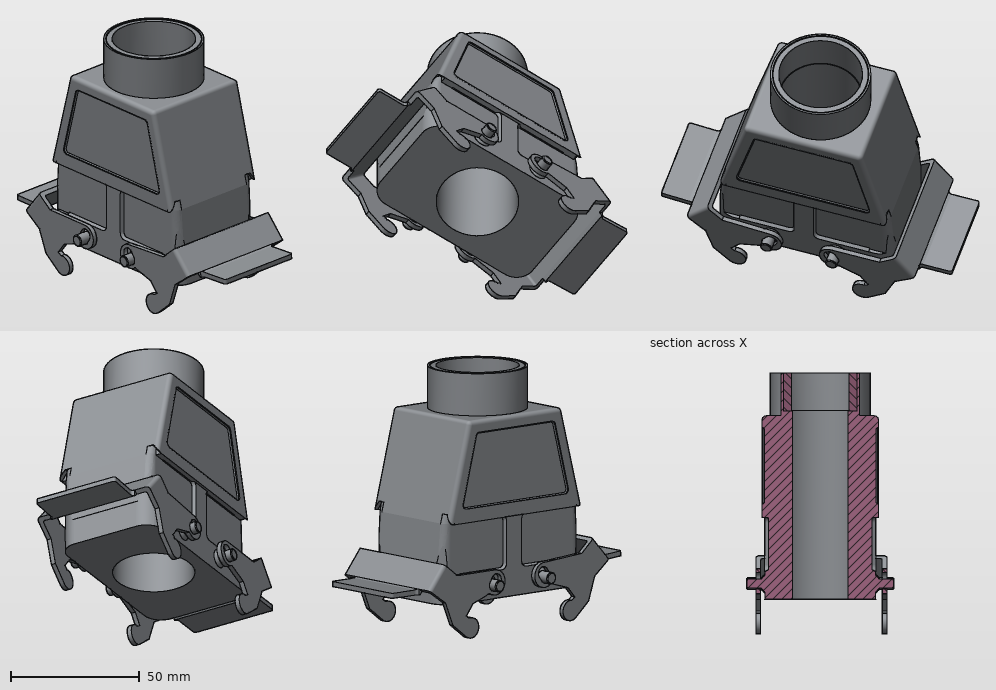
import cadquery as cq
import math


BLOCK_TOP = 71.5
BLOCK_BOTTOM = 31.8
BLOCK_TOP_HALF_LENGTH = 23.8
BLOCK_BOTTOM_HALF_LENGTH = 34.3
BLOCK_HALF_WIDTH = 22.6
BLOCK_FILLET = 1.8
PANEL_TOP = 66.7
PANEL_BOTTOM = 37.2
PANEL_TOP_HALF_LENGTH = 20.0
PANEL_BOTTOM_HALF_LENGTH = 27.6
PANEL_DEPTH = 1.0
PANEL_CORNER = 1.8
PANEL_EDGE_CHAMFER = 0.5

CORE_HALF_WIDTH = 20.2
CORE_CORNER_X = 31.5
CORE_CORNER_Y = 17.3
CORE_BOTTOM_HALF_LENGTH = 37.1
CORE_TOP = 35.6
CORE_TOP_HALF_LENGTH = 33.2

BAND_HALF_LENGTH = 36.2
BAND_HALF_WIDTH = 21.6
BAND_CORNER_X = 28.5
BAND_CORNER_Y = 14.1
RIB_HALF_LENGTH = 3.9
POCKET_BOTTOM = 10.9
POCKET_TOP = 32.2
POCKET_CORNER = 2.4
POCKET_TAPER = 25.0
POCKET_FLAT_LENGTH = 22.5

TOP = 88.1
NECK_DIAMETER = 39.0
SLEEVE_DIAMETER = 37.0
SLEEVE_BORE = 32.5
SLEEVE_LENGTH = 14.7
CABLE_BORE = 32.0
MOUTH_CHAMFER = 0.2

PIN_X = 13.3
PIN_Z = 6.2
PIN_RADIUS = 2.31
PIN_TIP_Y = 28.6
PIN_CHAMFER = 0.4
PIN_ROOT_RADIUS = 3.7

SHEET = 1.9
LEVER_HALF_WIDTH = 25.5
LEVER_SHIFT_Y = 0.5
BEND_OUTER_RADIUS = 1.5
BEND_INNER_RADIUS = 1.0
EYE_X = -12.7
EYE_Z = 7.1
EYE_RADIUS = 5.0
EYE_START_ANGLE = 90.0
EYE_END_ANGLE = -127.0
SLOT_WIDTH = 5.0
SLOT_TRAVEL = 2.1
SLOT_ANGLE = 58.0
HOOK_X = -25.3
HOOK_Z = -9.4
HOOK_RADIUS = 4.0
HOOK_START_ANGLE = 100.0
HOOK_END_ANGLE = -127.0
HOOK_THROAT = (-27.6, -4.4)
HOOK_BACK_LOWER = (-34.6, -7.2)
HOOK_BACK_UPPER = (-38.4, 2.0)
ARM_START_X = -32.2
ARM_HEEL = (-24.3, 0.0)
WEB_TOP = (-38.8, 17.1)
WEB_BOTTOM = (-46.5, 7.6)
TAB_TIP_X = -59.3
TAB_TOP = 7.2
TAB_BOTTOM = 5.2
TAB_HALF_WIDTH = 17.9
TAB_CORNER = 1.0
TAB_FLARE = 1.2
TAB_BEND_RUN = 1.4
TAB_HEEL_INSET = 0.4
RIGHT_LEVER_TILT = 3.7


def circle_point(center_x, center_z, radius, degrees):
    """Point on a circle, at an angle measured from +X toward +Z."""
    angle = math.radians(degrees)
    return (center_x + radius * math.cos(angle), center_z + radius * math.sin(angle))


def both_sides(shape):
    """The shape together with its mirror image across Y = 0."""
    return shape.union(shape.mirror("XZ"))


def trapezoid(plane, top_half, bottom_half, top, bottom):
    corners = [(-bottom_half, bottom), (bottom_half, bottom), (top_half, top), (-top_half, top)]
    return plane.polyline(corners).close()


def side_plane(offset):
    """XZ workplane on the -Y side; its normal points to -Y."""
    return cq.Workplane("XZ", origin=(0, -offset, 0))


def make_block():
    block = trapezoid(
        cq.Workplane("XZ"), BLOCK_TOP_HALF_LENGTH, BLOCK_BOTTOM_HALF_LENGTH, BLOCK_TOP, BLOCK_BOTTOM
    ).extrude(BLOCK_HALF_WIDTH, both=True)
    block = block.edges("not(<Z)").fillet(BLOCK_FILLET)
    panel = trapezoid(
        side_plane(BLOCK_HALF_WIDTH),
        PANEL_TOP_HALF_LENGTH,
        PANEL_BOTTOM_HALF_LENGTH,
        PANEL_TOP,
        PANEL_BOTTOM,
    ).extrude(-PANEL_DEPTH)
    panel = panel.edges("|Y").fillet(PANEL_CORNER)
    panel = panel.faces(">Y").chamfer(PANEL_EDGE_CHAMFER)
    return block.cut(both_sides(panel))


def skirt_outline(height, half_length, half_width, corner_x, corner_y):
    """Closed skirt outline at one height; an arc rounds each corner."""
    x_bulge = corner_x + (half_length - corner_x) * math.sqrt(0.5)
    y_bulge = corner_y + (half_width - corner_y) * math.sqrt(0.5)
    return (
        cq.Workplane("XY", origin=(0, 0, height))
        .moveTo(-corner_x, -half_width)
        .lineTo(corner_x, -half_width)
        .threePointArc((x_bulge, -y_bulge), (half_length, -corner_y))
        .lineTo(half_length, corner_y)
        .threePointArc((x_bulge, y_bulge), (corner_x, half_width))
        .lineTo(-corner_x, half_width)
        .threePointArc((-x_bulge, y_bulge), (-half_length, corner_y))
        .lineTo(-half_length, -corner_y)
        .threePointArc((-x_bulge, -y_bulge), (-corner_x, -half_width))
        .close()
    )


def band_prism(height):
    return skirt_outline(0, BAND_HALF_LENGTH, BAND_HALF_WIDTH, BAND_CORNER_X, BAND_CORNER_Y).extrude(height)


def make_skirt_core():
    """Skirt with sloping ends; the vertical outline of the band trims the corners of its lower part."""
    levels = [
        (0, CORE_BOTTOM_HALF_LENGTH),
        (BLOCK_BOTTOM, BLOCK_BOTTOM_HALF_LENGTH),
        (CORE_TOP, CORE_TOP_HALF_LENGTH),
    ]
    sections = [
        skirt_outline(height, half_length, CORE_HALF_WIDTH, CORE_CORNER_X, CORE_CORNER_Y).val()
        for height, half_length in levels
    ]
    core = cq.Workplane(cq.Solid.makeLoft(sections, True))
    return core.intersect(band_prism(CORE_TOP))


def make_pocket(side):
    """Pocket cutter on the -Y side of the skirt, open toward the skirt end."""
    length = 2 * BLOCK_BOTTOM_HALF_LENGTH
    height = POCKET_TOP - POCKET_BOTTOM
    return (
        side_plane(BAND_HALF_WIDTH)
        .center(side * (RIB_HALF_LENGTH + length / 2), POCKET_BOTTOM + height / 2)
        .sketch()
        .rect(length, height)
        .vertices()
        .fillet(POCKET_CORNER)
        .finalize()
        .extrude(CORE_HALF_WIDTH - BAND_HALF_WIDTH, taper=POCKET_TAPER)
    )


def make_skirt_band():
    """Thicker band around the skirt bottom, with a rib rising between the two pockets of each side."""
    band = band_prism(BLOCK_BOTTOM)
    end_space = cq.Workplane("XY").box(
        BLOCK_BOTTOM_HALF_LENGTH,
        2 * BLOCK_HALF_WIDTH,
        BLOCK_BOTTOM - POCKET_BOTTOM,
        centered=(False, True, False),
    )
    end_space = end_space.translate((RIB_HALF_LENGTH + POCKET_FLAT_LENGTH, 0, POCKET_BOTTOM))
    band = band.cut(end_space).cut(end_space.mirror("YZ"))
    for side in (-1, 1):
        band = band.cut(both_sides(make_pocket(side)))
    return band


def make_corner_reliefs():
    """Slanted undercuts of the block's lower corners, above the rounded skirt corners."""
    relief = (
        cq.Workplane("YZ", origin=(CORE_CORNER_X, 0, 0))
        .moveTo(CORE_CORNER_Y, BLOCK_BOTTOM)
        .lineTo(CORE_CORNER_Y, CORE_TOP)
        .lineTo((CORE_CORNER_Y + BLOCK_HALF_WIDTH) / 2, CORE_TOP)
        .lineTo(BLOCK_HALF_WIDTH, BLOCK_BOTTOM)
        .close()
        .extrude(BLOCK_BOTTOM_HALF_LENGTH - CORE_CORNER_X)
    )
    relief = both_sides(relief)
    return relief.union(relief.mirror("YZ"))


def make_pin(x):
    root_height = PIN_ROOT_RADIUS - PIN_RADIUS
    pin = side_plane(BAND_HALF_WIDTH).center(x, PIN_Z).circle(PIN_RADIUS).extrude(PIN_TIP_Y - BAND_HALF_WIDTH)
    pin = pin.faces("<Y").chamfer(PIN_CHAMFER)
    root = cq.Workplane(
        cq.Solid.makeCone(
            PIN_ROOT_RADIUS,
            PIN_RADIUS,
            root_height,
            cq.Vector(x, -BAND_HALF_WIDTH, PIN_Z),
            cq.Vector(0, -1, 0),
        )
    )
    return pin.union(root)


def make_housing():
    housing = make_block().cut(make_corner_reliefs()).union(make_skirt_core()).union(make_skirt_band())
    neck = cq.Workplane("XY", origin=(0, 0, BLOCK_TOP)).circle(NECK_DIAMETER / 2).extrude(TOP - BLOCK_TOP)
    housing = housing.union(neck)
    for x in (-PIN_X, PIN_X):
        housing = housing.union(both_sides(make_pin(x)))
    bore = cq.Workplane("XY").circle(CABLE_BORE / 2).extrude(TOP)
    seat = cq.Workplane("XY", origin=(0, 0, TOP)).circle(SLEEVE_DIAMETER / 2).extrude(-SLEEVE_LENGTH)
    mouth = cq.Workplane(
        cq.Solid.makeCone(
            SLEEVE_DIAMETER / 2,
            SLEEVE_DIAMETER / 2 + MOUTH_CHAMFER,
            MOUTH_CHAMFER,
            cq.Vector(0, 0, TOP - MOUTH_CHAMFER),
        )
    )
    return housing.cut(bore).cut(seat).cut(mouth)


def make_sleeve():
    return (
        cq.Workplane("XY", origin=(0, 0, TOP))
        .circle(SLEEVE_DIAMETER / 2)
        .circle(SLEEVE_BORE / 2)
        .extrude(-SLEEVE_LENGTH)
    )


def lever_side_outline():
    """Outline of a lever's side plate in XZ: web edge, arm with its eye, and hook."""
    eye_top = EYE_Z + EYE_RADIUS
    return (
        cq.Workplane("XZ")
        .moveTo(*WEB_TOP)
        .lineTo(ARM_START_X, eye_top)
        .lineTo(EYE_X, eye_top)
        .threePointArc(
            circle_point(EYE_X, EYE_Z, EYE_RADIUS, (EYE_START_ANGLE + EYE_END_ANGLE) / 2),
            circle_point(EYE_X, EYE_Z, EYE_RADIUS, EYE_END_ANGLE),
        )
        .lineTo(*ARM_HEEL)
        .lineTo(*HOOK_THROAT)
        .lineTo(*circle_point(HOOK_X, HOOK_Z, HOOK_RADIUS, HOOK_START_ANGLE))
        .threePointArc(
            circle_point(HOOK_X, HOOK_Z, HOOK_RADIUS, (HOOK_START_ANGLE + HOOK_END_ANGLE) / 2),
            circle_point(HOOK_X, HOOK_Z, HOOK_RADIUS, HOOK_END_ANGLE),
        )
        .lineTo(*HOOK_BACK_LOWER)
        .lineTo(*HOOK_BACK_UPPER)
        .lineTo(*WEB_BOTTOM)
        .close()
    )


def make_lever_tab(along_web, web_normal):
    """Finger tab: a flat strip bent outward from the lower edge of the web, flared where it meets the web."""
    inner_corner = cq.Vector(*WEB_BOTTOM) + web_normal * SHEET
    overlap_corner = inner_corner - along_web * SHEET
    flared_half_width = TAB_HALF_WIDTH + TAB_FLARE
    strip = (
        cq.Workplane("XZ")
        .polyline(
            [
                (TAB_TIP_X, TAB_TOP),
                (WEB_BOTTOM[0] - TAB_BEND_RUN, TAB_TOP),
                WEB_BOTTOM,
                (overlap_corner.x, overlap_corner.y),
                (inner_corner.x, inner_corner.y),
                (WEB_BOTTOM[0] + TAB_HEEL_INSET, TAB_BOTTOM),
                (TAB_TIP_X, TAB_BOTTOM),
            ]
        )
        .close()
        .extrude(flared_half_width, both=True)
    )
    flare_x = WEB_BOTTOM[0] - TAB_FLARE
    plan = (
        cq.Workplane("XY")
        .moveTo(TAB_TIP_X, 0)
        .lineTo(TAB_TIP_X, TAB_HALF_WIDTH)
        .lineTo(flare_x, TAB_HALF_WIDTH)
        .radiusArc((WEB_BOTTOM[0], flared_half_width), -TAB_FLARE)
        .lineTo(overlap_corner.x, flared_half_width)
        .lineTo(overlap_corner.x, 0)
        .close()
        .extrude(2 * TAB_TOP)
    )
    strip = strip.intersect(both_sides(plan))
    return strip.edges("|Z and <X").fillet(TAB_CORNER)


def make_lever():
    """Left lever: two side plates joined by a slanted web, with a tab on the web."""
    along_web = (cq.Vector(*WEB_BOTTOM) - cq.Vector(*WEB_TOP)).normalized()
    web_normal = cq.Vector(-along_web.y, along_web.x)
    bend_edges = cq.selectors.ParallelDirSelector(cq.Vector(along_web.x, 0, along_web.y))

    lever = lever_side_outline().extrude(LEVER_HALF_WIDTH, both=True)
    lever = lever.edges(bend_edges).fillet(BEND_OUTER_RADIUS)

    reach = abs(TAB_TIP_X)
    inner_start = cq.Vector(*WEB_TOP) + web_normal * SHEET - along_web * reach
    inner_end = inner_start + along_web * (2 * reach)
    corners = [inner_start, inner_end, inner_end + web_normal * reach, inner_start + web_normal * reach]
    gap = (
        cq.Workplane("XZ")
        .polyline([(corner.x, corner.y) for corner in corners])
        .close()
        .extrude(LEVER_HALF_WIDTH - SHEET, both=True)
    )
    inner_face = cq.selectors.DirectionMinMaxSelector(cq.Vector(web_normal.x, 0, web_normal.y), False)
    gap = gap.faces(inner_face).edges(bend_edges).fillet(BEND_INNER_RADIUS)

    slot = (
        cq.Workplane("XZ", origin=(EYE_X, 0, EYE_Z))
        .slot2D(SLOT_WIDTH + SLOT_TRAVEL, SLOT_WIDTH, SLOT_ANGLE)
        .extrude(LEVER_HALF_WIDTH, both=True)
    )
    lever = lever.cut(gap).cut(slot).union(make_lever_tab(along_web, web_normal))
    return lever.translate((0, LEVER_SHIFT_Y, 0))


def make_right_lever():
    """Mirror image of the left lever, swung upward about its eye."""
    return make_lever().mirror("YZ").rotate((-EYE_X, 0, EYE_Z), (-EYE_X, 1, EYE_Z), -RIGHT_LEVER_TILT)


housing = make_housing()
sleeve = make_sleeve()
left_lever = make_lever()
right_lever = make_right_lever()

result = cq.Compound.makeCompound(
    [
        *housing.solids().vals(),
        sleeve.val(),
        *left_lever.solids().vals(),
        *right_lever.solids().vals(),
    ]
)